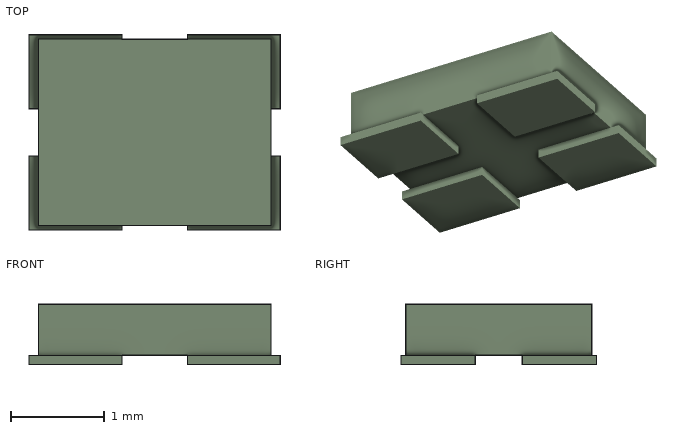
import cadquery as cq

overall_length = 2.7
overall_width = 2.1

housing_length = 2.5
housing_width = 2.0
housing_height = 0.55

pad_length = 1.0
pad_width = 0.8
pad_thickness = 0.1

pad_offset_x = (overall_length - pad_length) / 2
pad_offset_y = (overall_width - pad_width) / 2


def make_housing():
    """Plain block resting on top of the pads."""
    block = cq.Workplane("XY").box(
        housing_length, housing_width, housing_height, centered=(True, True, False)
    )
    return block.translate((0, 0, pad_thickness))


def make_pad(center_x, center_y):
    """Flat terminal pad with its underside at Z = 0."""
    pad = cq.Workplane("XY").box(
        pad_length, pad_width, pad_thickness, centered=(True, True, False)
    )
    return pad.translate((center_x, center_y, 0))


housing = make_housing()

pads = []
for side_x in (-1, 1):
    for side_y in (-1, 1):
        pads.append(make_pad(side_x * pad_offset_x, side_y * pad_offset_y))

result = cq.Compound.makeCompound([housing.val(), *[pad.val() for pad in pads]])